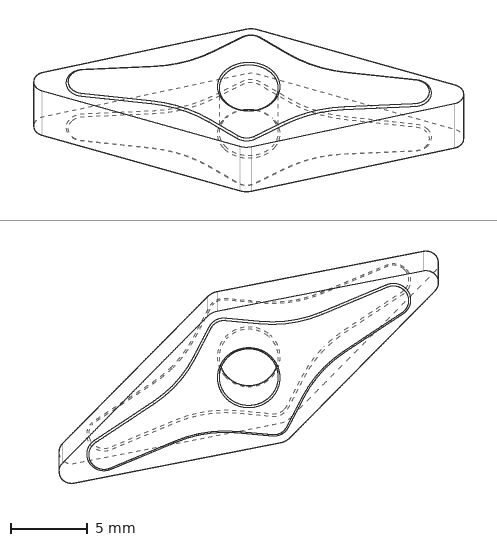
import cadquery as cq
import math

length = 26.73
width = 9.55
height = 4.9
point_angle = 35.0
blunt_radius = 1.23

hole_diameter = 3.82
hole_mouth_diameter = 4.05
hole_mouth_slope = 45.0

land_height = 0.13
land_slope = 45.0
tip_distance = 10.75
tip_radius = 1.12
crown_distance = 3.35
crown_radius = 1.07
long_flank_angle = 5.5
short_flank_angle = 34.5
waist_radius = 8.02

half_angle = math.radians(point_angle / 2)
diagonal_tilt = point_angle / 2
body_height = height - 2 * land_height
side = width / math.sin(math.radians(point_angle))
sharp_length = side * (1 + math.cos(math.radians(point_angle)))
nose_radius = (length - sharp_length) / 2 / (1 - 1 / math.tan(half_angle))


def make_body():
    long_half = side * math.cos(half_angle)
    short_half = side * math.sin(half_angle)
    corners = [(long_half, 0), (0, short_half), (-long_half, 0), (0, -short_half)]
    body = cq.Workplane("XY").polyline(corners).close().extrude(body_height / 2, both=True)
    body = body.edges("|Z and (<X or >X)").fillet(nose_radius)
    for end in ("<Y", ">Y"):
        body = body.edges("|Z").edges(end).fillet(blunt_radius)
    return body


def flank_point(center, radius, angle):
    """Point on an arc where a flank falling at the given angle is tangent to it."""
    return (center[0] + radius * math.sin(angle), center[1] + radius * math.cos(angle))


def waist_points(crown, tip, short_angle, long_angle):
    """Start, middle and end of the concave arc that joins the two flanks."""
    short_slope = -math.tan(short_angle)
    long_slope = -math.tan(long_angle)
    meet_x = (tip[1] - crown[1] + short_slope * crown[0] - long_slope * tip[0]) / (short_slope - long_slope)
    meet_y = crown[1] + short_slope * (meet_x - crown[0])
    turn = (short_angle - long_angle) / 2
    reach = waist_radius * math.tan(turn)
    start = (meet_x - reach * math.cos(short_angle), meet_y + reach * math.sin(short_angle))
    end = (meet_x + reach * math.cos(long_angle), meet_y - reach * math.sin(long_angle))
    middle_angle = (short_angle + long_angle) / 2
    sagitta_gap = waist_radius * (1 / math.cos(turn) - 1)
    middle = (meet_x + sagitta_gap * math.sin(middle_angle), meet_y + sagitta_gap * math.cos(middle_angle))
    return start, middle, end


def make_land():
    short_angle = math.radians(short_flank_angle)
    long_angle = math.radians(long_flank_angle)
    crown = flank_point((0, crown_distance), crown_radius, short_angle)
    tip = flank_point((tip_distance, 0), tip_radius, long_angle)
    start, middle, end = waist_points(crown, tip, short_angle, long_angle)
    crown_top = crown_distance + crown_radius
    tip_end = tip_distance + tip_radius

    def mirrored(point, x_sign, y_sign):
        return (x_sign * point[0], y_sign * point[1])

    outline = cq.Workplane("XY").workplane(offset=body_height / 2).moveTo(*crown)
    for sign in (1, -1):
        outline = (
            outline.lineTo(*mirrored(start, sign, sign))
            .threePointArc(mirrored(middle, sign, sign), mirrored(end, sign, sign))
            .lineTo(*mirrored(tip, sign, sign))
            .threePointArc((sign * tip_end, 0), mirrored(tip, sign, -sign))
            .lineTo(*mirrored(end, sign, -sign))
            .threePointArc(mirrored(middle, sign, -sign), mirrored(start, sign, -sign))
            .lineTo(*mirrored(crown, sign, -sign))
            .threePointArc((0, -sign * crown_top), mirrored(crown, -sign, -sign))
        )
    return outline.close().extrude(land_height, taper=land_slope)


def make_hole():
    mouth_depth = (hole_mouth_diameter - hole_diameter) / 2 / math.tan(math.radians(hole_mouth_slope))
    hole = cq.Workplane("XY").circle(hole_diameter / 2).extrude(height / 2, both=True)
    mouth = (
        cq.Workplane("XY")
        .workplane(offset=height / 2)
        .circle(hole_mouth_diameter / 2)
        .extrude(-mouth_depth, taper=hole_mouth_slope)
    )
    return hole.union(mouth).union(mouth.mirror("XY"))


land = make_land()
insert = make_body().union(land).union(land.mirror("XY")).cut(make_hole())
result = insert.rotate((0, 0, 0), (0, 0, 1), diagonal_tilt)